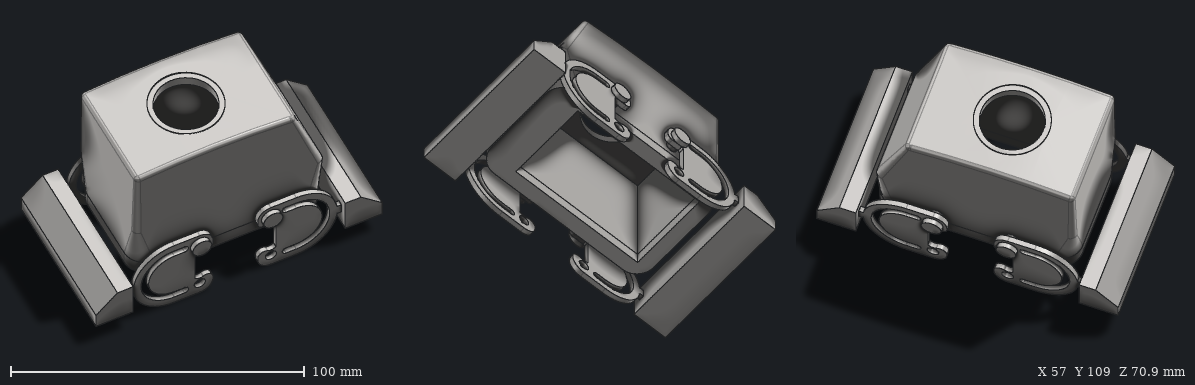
import cadquery as cq
import math


HOOD_WIDTH = 43.0
HOOD_LENGTH = 73.0
SEAL_HEIGHT = 5.3
BASE_CORNER_RADIUS = 7.5
KNEE_Z = 23.2
KNEE_CORNER_RADIUS = 2.8
UPRIGHT_CORNER_RADIUS = 2.4
KNEE_BLEND_RADIUS = 9.3
TOP_CORNER_RADIUS = 1.6
END_DRAFT = 0.9
END_SLOPE = 20.5
CREST_Z = 54.6
ROOF_RADIUS = 283.4
ROOF_EDGE_RADIUS = 1.5
BLANK_TOP_Z = CREST_Z + 2.2

ENTRY_Y = -6.0
ENTRY_RADIUS = 11.2
SPOT_FACE_RADIUS = 13.3
SPOT_FACE_DEPTH = 0.4
ENTRY_WALL = 3.7
CAVITY_WALL = 5.5
CAVITY_END_Y = 23.9

PIN_Y = 13.5
PIN_Z = 9.9
PIN_RADIUS = 2.2
PIN_HEAD_RADIUS = 3.6
PIN_HEAD_X = 27.5
PLATE_INNER_X = 23.7
PLATE_THICKNESS = 2.0
LEVER_Z = -0.7
LEVER_ARC_Y = 23.2
LEVER_RADIUS = 15.6
LEVER_BACK_Y = 15.4
SPRING_SLOT_OUTER_RADIUS = 12.6
SPRING_SLOT_INNER_RADIUS = 9.8
SPRING_SLOT_END_Y = 19.3
EYE_HOLE_RADIUS = 2.1
EYE_CORNER_RADIUS = 2.0
EYE_ROOT_BEVEL = 0.7
HOOK_TIP_RADIUS = 2.5
PEG_NOTCH_RADIUS = 2.4
PEG_NOTCH_DEPTH_Z = -8.4

HANDLE_WIDTH = 57.0
HANDLE_OUTER_Y = 54.5
HANDLE_INNER_Y = 40.3
HANDLE_TOP_Z = 5.3
HANDLE_BOTTOM_Z = -8.5
HANDLE_TOP_DEPTH = 6.0
HANDLE_OUTER_EDGE_Z = -2.4
TAB_HEIGHT = 3.8

SPOT_FACE_Z = CREST_Z - SPOT_FACE_DEPTH
CEILING_Z = SPOT_FACE_Z - ENTRY_WALL
PIN_RISE = PIN_Z - LEVER_Z
EYE_RADIUS = LEVER_RADIUS - PIN_RISE
HOOK_EYE_Z = LEVER_Z - PIN_RISE
PLATE_OUTER_X = PLATE_INNER_X + PLATE_THICKNESS


def rounded_section(z, y_low, y_high, low_radius, high_radius):
    """A hood cross-section at height z: a rectangle with one corner radius at each end."""
    return (
        cq.Sketch()
        .push([(0, (y_low + y_high) / 2)])
        .rect(HOOD_WIDTH, y_high - y_low)
        .reset()
        .vertices("<Y")
        .fillet(low_radius)
        .reset()
        .vertices(">Y")
        .fillet(high_radius)
        .reset()
        .moved(cq.Location(cq.Vector(0, 0, z)))
    )


def loft_between(lower, upper):
    return cq.Workplane("XY").placeSketch(lower, upper).loft(ruled=True)


def drafted_end(z):
    """Distance of an end face from the middle at height z, without the slope."""
    return HOOD_LENGTH / 2 - (z - SEAL_HEIGHT) * math.tan(math.radians(END_DRAFT))


def hood_blank():
    sloped_top_y = drafted_end(KNEE_Z) - (BLANK_TOP_Z - KNEE_Z) * math.tan(math.radians(END_SLOPE))
    base_y = drafted_end(SEAL_HEIGHT)
    knee_y = drafted_end(KNEE_Z)
    base = rounded_section(SEAL_HEIGHT, -base_y, base_y, BASE_CORNER_RADIUS, BASE_CORNER_RADIUS)
    knee = rounded_section(KNEE_Z, -knee_y, knee_y, UPRIGHT_CORNER_RADIUS, KNEE_CORNER_RADIUS)
    top = rounded_section(
        BLANK_TOP_Z, -drafted_end(BLANK_TOP_Z), sloped_top_y, TOP_CORNER_RADIUS, TOP_CORNER_RADIUS
    )
    blank = loft_between(base, knee).union(loft_between(knee, top))
    return blank.intersect(roof_cylinder()).cut(knee_sliver())


def roof_cylinder():
    return (
        cq.Workplane("YZ", origin=(0, ENTRY_Y, CREST_Z - ROOF_RADIUS))
        .circle(ROOF_RADIUS)
        .extrude(HOOD_WIDTH, both=True)
    )


def knee_sliver():
    """The sharp material outside the round blend between the upright and the sloping end."""
    draft = math.radians(END_DRAFT)
    slope = math.radians(END_SLOPE)
    setback = KNEE_BLEND_RADIUS * math.tan((slope - draft) / 2)
    knee = (drafted_end(KNEE_Z), KNEE_Z)
    lower = (knee[0] + setback * math.sin(draft), knee[1] - setback * math.cos(draft))
    upper = (knee[0] - setback * math.sin(slope), knee[1] + setback * math.cos(slope))
    centre = (
        lower[0] - KNEE_BLEND_RADIUS * math.cos(draft),
        lower[1] - KNEE_BLEND_RADIUS * math.sin(draft),
    )
    return (
        cq.Workplane("YZ")
        .moveTo(*lower)
        .lineTo(*knee)
        .lineTo(*upper)
        .threePointArc(arc_point(centre, KNEE_BLEND_RADIUS, (END_DRAFT + END_SLOPE) / 2), lower)
        .close()
        .extrude(HOOD_WIDTH, both=True)
    )


def cavity(z_low, z_high):
    """The straight-walled space inside the hood and the seal frame."""
    y_low = CAVITY_WALL - HOOD_LENGTH / 2
    return (
        cq.Workplane("XY", origin=(0, (y_low + CAVITY_END_Y) / 2, z_low))
        .rect(HOOD_WIDTH - 2 * CAVITY_WALL, CAVITY_END_Y - y_low)
        .extrude(z_high - z_low)
    )


def cable_entry():
    hole = cq.Workplane("XY", origin=(0, ENTRY_Y, CEILING_Z)).circle(ENTRY_RADIUS)
    spot_face = cq.Workplane("XY", origin=(0, ENTRY_Y, SPOT_FACE_Z)).circle(SPOT_FACE_RADIUS)
    return hole.extrude(ENTRY_WALL).union(spot_face.extrude(SPOT_FACE_DEPTH))


def hood_shell():
    shell = hood_blank().faces(">Z").edges().fillet(ROOF_EDGE_RADIUS)
    return shell.cut(cavity(SEAL_HEIGHT, CEILING_Z)).cut(cable_entry())


def arc_point(centre, radius, degrees):
    angle = math.radians(degrees)
    return (centre[0] + radius * math.cos(angle), centre[1] + radius * math.sin(angle))


def lever_outline():
    """The plate's outline in Y and Z: round outer end, pin eye above, hook below."""
    top_z = LEVER_Z + LEVER_RADIUS
    bottom_z = LEVER_Z - LEVER_RADIUS
    pin_eye = (PIN_Y, PIN_Z)
    hook_eye = (PIN_Y, HOOK_EYE_Z)
    tip_y = PIN_Y - EYE_RADIUS
    eye_bottom_z = PIN_Z - PIN_HEAD_RADIUS
    eye_corner = (tip_y + EYE_CORNER_RADIUS, eye_bottom_z + EYE_CORNER_RADIUS)
    notch = (PIN_Y, PEG_NOTCH_DEPTH_Z + PEG_NOTCH_RADIUS)
    notch_start_z = notch[1] - math.sqrt(PEG_NOTCH_RADIUS**2 - (LEVER_BACK_Y - PIN_Y) ** 2)
    nose_y = tip_y + HOOK_TIP_RADIUS
    reach = PEG_NOTCH_RADIUS + HOOK_TIP_RADIUS
    nose = (nose_y, notch[1] - math.sqrt(reach**2 - (PIN_Y - nose_y) ** 2))
    meeting_angle = math.degrees(math.atan2(nose[1] - notch[1], nose[0] - notch[0]))
    return (
        cq.Workplane("YZ", origin=(PLATE_INNER_X, 0, 0))
        .moveTo(LEVER_ARC_Y, top_z)
        .threePointArc((LEVER_ARC_Y + LEVER_RADIUS, LEVER_Z), (LEVER_ARC_Y, bottom_z))
        .lineTo(PIN_Y, bottom_z)
        .threePointArc(arc_point(hook_eye, EYE_RADIUS, 225), (tip_y, HOOK_EYE_Z))
        .lineTo(tip_y, nose[1])
        .threePointArc(
            arc_point(nose, HOOK_TIP_RADIUS, 90),
            arc_point(notch, PEG_NOTCH_RADIUS, meeting_angle),
        )
        .threePointArc((PIN_Y, PEG_NOTCH_DEPTH_Z), (LEVER_BACK_Y, notch_start_z))
        .lineTo(LEVER_BACK_Y, eye_bottom_z - EYE_ROOT_BEVEL)
        .lineTo(LEVER_BACK_Y - EYE_ROOT_BEVEL, eye_bottom_z)
        .lineTo(eye_corner[0], eye_bottom_z)
        .threePointArc(arc_point(eye_corner, EYE_CORNER_RADIUS, 225), (tip_y, eye_corner[1]))
        .lineTo(tip_y, PIN_Z)
        .threePointArc(arc_point(pin_eye, EYE_RADIUS, 135), (PIN_Y, top_z))
        .close()
    )


def spring_slot():
    """The C-shaped slot that follows the round end of the plate."""
    outer, inner = SPRING_SLOT_OUTER_RADIUS, SPRING_SLOT_INNER_RADIUS
    middle = (outer + inner) / 2
    end_y = SPRING_SLOT_END_Y - (outer - inner) / 2
    return (
        cq.Workplane("YZ", origin=(PLATE_INNER_X, 0, LEVER_Z))
        .moveTo(SPRING_SLOT_END_Y, outer)
        .lineTo(LEVER_ARC_Y, outer)
        .threePointArc((LEVER_ARC_Y + outer, 0), (LEVER_ARC_Y, -outer))
        .lineTo(SPRING_SLOT_END_Y, -outer)
        .threePointArc((end_y, -middle), (SPRING_SLOT_END_Y, -inner))
        .lineTo(LEVER_ARC_Y, -inner)
        .threePointArc((LEVER_ARC_Y + inner, 0), (LEVER_ARC_Y, inner))
        .lineTo(SPRING_SLOT_END_Y, inner)
        .threePointArc((end_y, middle), (SPRING_SLOT_END_Y, outer))
        .close()
        .extrude(PLATE_THICKNESS)
    )


def x_cylinder(y, z, radius, x_start, x_end):
    return cq.Workplane("YZ", origin=(x_start, y, z)).circle(radius).extrude(x_end - x_start)


def lever_side():
    """One side plate at +X with its handle tab, and the headed pin that carries it."""
    tab_length = HANDLE_INNER_Y - LEVER_ARC_Y - SPRING_SLOT_OUTER_RADIUS
    tab = cq.Workplane("XY").box(PLATE_THICKNESS, tab_length, TAB_HEIGHT).translate(
        (PLATE_INNER_X + PLATE_THICKNESS / 2, HANDLE_INNER_Y - tab_length / 2, LEVER_Z)
    )
    eye_hole = x_cylinder(PIN_Y, HOOK_EYE_Z, EYE_HOLE_RADIUS, PLATE_INNER_X, PLATE_OUTER_X)
    plate = lever_outline().extrude(PLATE_THICKNESS).union(tab).cut(spring_slot()).cut(eye_hole)
    shaft = x_cylinder(PIN_Y, PIN_Z, PIN_RADIUS, HOOD_WIDTH / 2 - CAVITY_WALL / 2, PLATE_OUTER_X)
    head = x_cylinder(PIN_Y, PIN_Z, PIN_HEAD_RADIUS, PLATE_OUTER_X, PIN_HEAD_X)
    return plate.union(shaft).union(head)


def handle():
    return (
        cq.Workplane("YZ")
        .moveTo(HANDLE_INNER_Y, HANDLE_BOTTOM_Z)
        .lineTo(HANDLE_OUTER_Y, HANDLE_BOTTOM_Z)
        .lineTo(HANDLE_OUTER_Y, HANDLE_OUTER_EDGE_Z)
        .lineTo(HANDLE_INNER_Y + HANDLE_TOP_DEPTH, HANDLE_TOP_Z)
        .lineTo(HANDLE_INNER_Y, HANDLE_TOP_Z)
        .close()
        .extrude(HANDLE_WIDTH / 2, both=True)
    )


def lever():
    side = lever_side()
    return handle().union(side).union(side.mirror("YZ"))


def lever_hood():
    """The hood with the two levers that hang from its side walls."""
    lever_at_end = lever()
    hood = hood_shell()
    for one_lever in (lever_at_end, lever_at_end.mirror("XZ")):
        hood = hood.union(one_lever)
    return hood


def seal_frame():
    """The upright frame below the hood, flush with the hood's base outside and inside."""
    outline = cq.Workplane("XY").rect(HOOD_WIDTH, HOOD_LENGTH).extrude(SEAL_HEIGHT)
    return outline.edges("|Z").fillet(BASE_CORNER_RADIUS).cut(cavity(0, SEAL_HEIGHT))


hood = lever_hood()
seal = seal_frame()
result = cq.Compound.makeCompound([hood.val(), seal.val()])